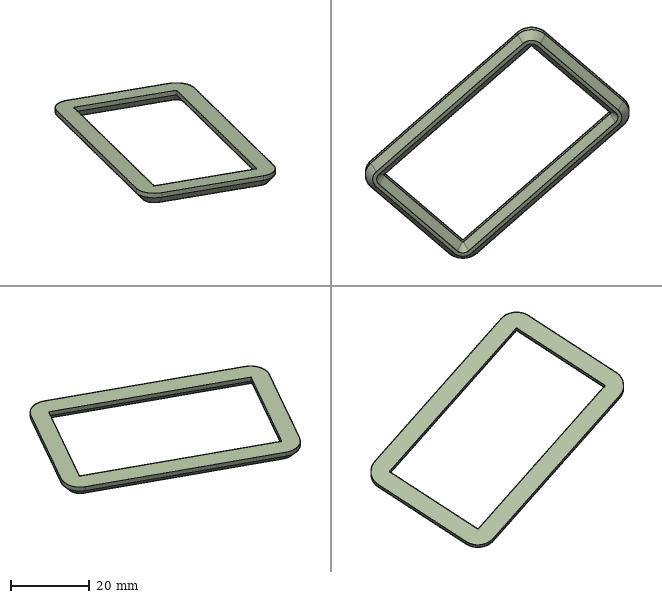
import cadquery as cq
import math

length = 63.5
width = 38.1
height = 3.5

wall = 4.8
corner_radius = 5.0
rim_height = 1.3
bevel_height = height - rim_height
bevel_inset = 1.9

bevel_angle = math.degrees(math.atan2(bevel_inset, bevel_height))


def rounded_block(inset, block_height, taper=0):
    """Block rising from the XY plane, inset from the frame outline with concentric corners."""
    outline = cq.Sketch().rect(length - 2 * inset, width - 2 * inset).vertices().fillet(corner_radius - inset)
    return cq.Workplane("XY").placeSketch(outline).extrude(block_height, taper=taper)


body = rounded_block(0, height).faces("<Z").chamfer(bevel_height, bevel_inset)

opening = rounded_block(wall, height)

flare = rounded_block(wall - bevel_inset, bevel_height, bevel_angle)

result = body.cut(opening).cut(flare)